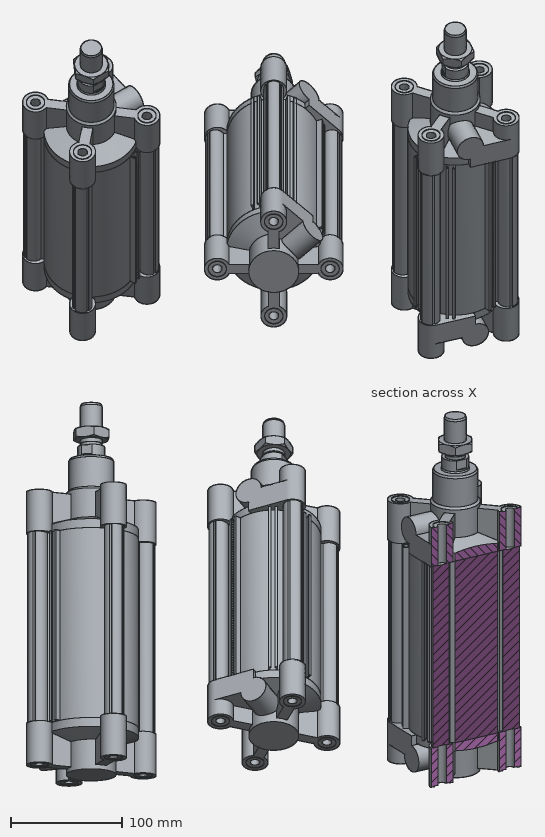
import cadquery as cq
import math


total_height = 343.5
rear_face_z = 42.5
barrel_length = 176.2
front_face_z = rear_face_z + barrel_length

overall_width = 95.0
post_dia = 23.5
post_offset = (overall_width - post_dia) / 2
post_height = 38.5
collar_dia = 85.2
collar_height = 8.2
hub_dia = 45.0
cone_height = 7.0
web_width = 10.0
screw_recess_dia = 16.5
screw_recess_depth = 0.7
screw_hole_dia = 8.5

port_boss_dia = 25.0
port_boss_x = 2.5
port_boss_height = 22.0

hub_top = 44.0
hub_chamfer = 2.0
nose_dia = 41.0
nose_top = 73.5
nose_chamfer_radial = 1.0
nose_chamfer_height = 2.0
wiper_base_dia = 26.0
wiper_height = 1.5

column_dia = 18.0
column_offset = 37.0
column_neck_width = 10.3
column_groove_width = 2.0
column_groove_depth = 0.7
rail_angle = 24.8
rail_outer_radius = 47.7
rail_width = 8.2
rail_wall = 1.5
rail_opening = 3.5

rod_dia = 24.5
rod_flats = 22.0
flats_bottom_z = 295.5
shoulder_z = 304.0
relief_dia = 18.5
relief_top_z = 307.0
thread_dia = 20.0
tip_chamfer_radial = 0.7
tip_chamfer_height = 2.0

nut_flats = 30.0
nut_height = 9.5
nut_bottom_z = 310.5
nut_chamfer_angle = 30.0

corners = [(sx, sy) for sx in (-1, 1) for sy in (-1, 1)]


def cylinder(diameter, height, z=0.0):
    return cq.Workplane("XY").workplane(offset=z).circle(diameter / 2).extrude(height)


def box(x_range, y_range, z_range):
    """Axis-aligned block between pairs of limits."""
    spans = [high - low for low, high in (x_range, y_range, z_range)]
    block = cq.Workplane("XY").box(*spans, centered=False)
    return block.translate((x_range[0], y_range[0], z_range[0]))


def revolve(outline):
    """Turn an (r, z) outline about the Z axis."""
    return cq.Workplane("XZ").polyline(outline).close().revolve(360, (0, 0, 0), (0, 1, 0))


def post_centers():
    return [(sx * post_offset, sy * post_offset) for sx, sy in corners]


def cap_core():
    """Collar that rises as a cone to the hub."""
    cone_top = collar_height + cone_height
    return revolve([
        (0, 0),
        (collar_dia / 2, 0),
        (collar_dia / 2, collar_height),
        (hub_dia / 2, cone_top),
        (0, cone_top),
    ])


def cap_webs():
    """Two crossing diagonal ribs that join the four posts to the hub."""
    length = 2 * math.hypot(post_offset, post_offset)
    rib = cq.Workplane("XY").box(length, web_width, post_height, centered=(True, True, False))
    return rib.rotate((0, 0, 0), (0, 0, 1), 45).union(rib.rotate((0, 0, 0), (0, 0, 1), -45))


def port_boss():
    """Round boss along +Y, with a block that fills the space from it to the neighbouring post."""
    outer_y = overall_width / 2
    boss = (
        cq.Workplane("XZ")
        .center(port_boss_x, port_boss_height)
        .circle(port_boss_dia / 2)
        .extrude(-outer_y)
    )
    block = box((-post_offset, port_boss_x), (0, outer_y), (0, port_boss_height))
    ahead_of_web = (
        cq.Workplane("XY")
        .polyline([(0, 0), (outer_y, outer_y), (-outer_y, outer_y)])
        .close()
        .extrude(port_boss_height)
    )
    return boss.union(block.intersect(ahead_of_web))


def cut_screw_holes(cap):
    hole = cylinder(screw_hole_dia, post_height)
    recess = cylinder(screw_recess_dia, screw_recess_depth, post_height - screw_recess_depth)
    tool = hole.union(recess)
    for x, y in post_centers():
        cap = cap.cut(tool.translate((x, y, 0)))
    return cap


def make_cap(hub):
    """Cap on the XY plane, facing up, around the given hub."""
    posts = cq.Workplane("XY").pushPoints(post_centers()).circle(post_dia / 2).extrude(post_height)
    cap = cap_core().union(hub).union(cap_webs()).union(port_boss()).union(posts)
    return cut_screw_holes(cap)


def make_rear_cap():
    cap = make_cap(cylinder(hub_dia, rear_face_z))
    return cap.rotate((0, 0, 0), (0, 1, 0), 180).translate((0, 0, rear_face_z))


def make_front_cap():
    hub_and_nose = revolve([
        (0, 0),
        (hub_dia / 2, 0),
        (hub_dia / 2, hub_top - hub_chamfer),
        (nose_dia / 2, hub_top),
        (nose_dia / 2, nose_top - nose_chamfer_height),
        (nose_dia / 2 - nose_chamfer_radial, nose_top),
        (wiper_base_dia / 2, nose_top),
        (rod_dia / 2, nose_top + wiper_height),
        (0, nose_top + wiper_height),
    ])
    rod_bore = cylinder(rod_dia, nose_top + wiper_height)
    return make_cap(hub_and_nose).cut(rod_bore).translate((0, 0, front_face_z))


def barrel_column():
    """Corner column on the +X +Y diagonal: a round bar on a parallel neck, with two small grooves."""
    neck_length = math.hypot(column_offset, column_offset)
    neck = (
        cq.Workplane("XY")
        .box(neck_length, column_neck_width, barrel_length, centered=(False, True, False))
        .rotate((0, 0, 0), (0, 0, 1), 45)
    )
    bar = cylinder(column_dia, barrel_length).translate((column_offset, column_offset, 0))
    outer = column_offset + column_dia / 2
    across = (column_offset - column_groove_width / 2, column_offset + column_groove_width / 2)
    deep = (outer - column_groove_depth, outer)
    x_groove = box(deep, across, (0, barrel_length))
    y_groove = box(across, deep, (0, barrel_length))
    return neck.union(bar).cut(x_groove).cut(y_groove)


def barrel_rail():
    """Sensor rail along +X with a T-slot open to the outside."""
    full_height = (0, barrel_length)
    half_inner = rail_width / 2 - rail_wall
    rail = box((0, rail_outer_radius), (-rail_width / 2, rail_width / 2), full_height)
    pocket = box((0, rail_outer_radius - rail_wall), (-half_inner, half_inner), full_height)
    opening = box((0, rail_outer_radius), (-rail_opening / 2, rail_opening / 2), full_height)
    return rail.cut(pocket).cut(opening)


def make_barrel():
    barrel = cylinder(collar_dia, barrel_length)
    for quarter in range(4):
        barrel = barrel.union(barrel_column().rotate((0, 0, 0), (0, 0, 1), 90 * quarter))
    for angle in (rail_angle, 90 - rail_angle, 90 + rail_angle, 180 - rail_angle):
        barrel = barrel.union(barrel_rail().rotate((0, 0, 0), (0, 0, 1), angle))
    return barrel.translate((0, 0, rear_face_z))


def make_rod():
    """Piston rod from the front face of the barrel to the threaded tip, with two wrench flats facing X."""
    rod = revolve([
        (0, front_face_z),
        (rod_dia / 2, front_face_z),
        (rod_dia / 2, shoulder_z),
        (relief_dia / 2, shoulder_z),
        (relief_dia / 2, relief_top_z),
        (thread_dia / 2, relief_top_z),
        (thread_dia / 2, total_height - tip_chamfer_height),
        (thread_dia / 2 - tip_chamfer_radial, total_height),
        (0, total_height),
    ])
    y_range = (-rod_dia / 2, rod_dia / 2)
    z_range = (flats_bottom_z, shoulder_z)
    for x_range in ((rod_flats / 2, rod_dia / 2), (-rod_dia / 2, -rod_flats / 2)):
        rod = rod.cut(box(x_range, y_range, z_range))
    return rod


def make_nut():
    """Hexagon nut with flats facing X and both faces chamfered down to the flats."""
    across_corners = nut_flats / math.cos(math.pi / 6)
    chamfer_radial = (across_corners - nut_flats) / 2
    chamfer_height = chamfer_radial * math.tan(math.radians(nut_chamfer_angle))
    hexagon = (
        cq.Workplane("XY").polygon(6, across_corners).extrude(nut_height).rotate((0, 0, 0), (0, 0, 1), 30)
    )
    chamfered_envelope = revolve([
        (0, 0),
        (nut_flats / 2, 0),
        (across_corners / 2, chamfer_height),
        (across_corners / 2, nut_height - chamfer_height),
        (nut_flats / 2, nut_height),
        (0, nut_height),
    ])
    nut = hexagon.intersect(chamfered_envelope).cut(cylinder(thread_dia, nut_height))
    return nut.translate((0, 0, nut_bottom_z))


rear_cap = make_rear_cap()
front_cap = make_front_cap()
barrel = make_barrel()
rod = make_rod()
nut = make_nut()

result = cq.Compound.makeCompound([rear_cap.val(), front_cap.val(), barrel.val(), rod.val(), nut.val()])